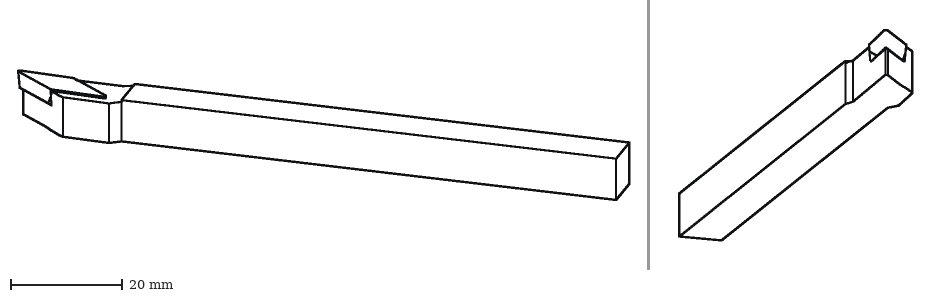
import cadquery as cq
import math

overall_length = 115.0
shank_size = 8.0
shank_start = 21.8

head_height = 7.7
head_bottom_y = -9.4
head_slope_y = -9.1
nose_x = 1.2
nose_y = -0.6
nose_flat = 0.5
neck_start = 19.9
back_end_y = -0.8

hollow_start = (6.3, -5.1)
hollow_middle = (7.2, -5.9)
hollow_end = (8.0, -6.7)
heel_start = (9.7, -8.0)
heel_middle = (10.4, -8.6)
heel_end = (11.2, head_slope_y)

insert_width = 6.4
insert_thickness = 3.2
nose_angle = 35.0
lead_angle = 3.0
clearance_angle = 5.0
nose_radius = 0.3

insert_side = insert_width / math.sin(math.radians(nose_angle))

nose_center_distance = nose_radius / math.sin(math.radians(nose_angle / 2))
nose_axis_angle = lead_angle + nose_angle / 2
nose_setback = nose_center_distance * math.cos(math.radians(nose_axis_angle)) - nose_radius


def edge_vector(angle):
    """Vector along one insert side that drops by the given angle below +X."""
    return (
        insert_side * math.cos(math.radians(angle)),
        -insert_side * math.sin(math.radians(angle)),
    )


def make_insert():
    back_x, back_y = edge_vector(lead_angle)
    front_x, front_y = edge_vector(lead_angle + nose_angle)
    rhombus = [
        (0, 0),
        (back_x, back_y),
        (back_x + front_x, back_y + front_y),
        (front_x, front_y),
    ]
    outline = cq.Sketch().polygon(rhombus + rhombus[:1]).vertices("<X or >X").fillet(nose_radius)
    plate = cq.Workplane("XY").placeSketch(outline).extrude(-insert_thickness, taper=clearance_angle)
    return plate.translate((-nose_setback, 0, shank_size))


def make_shank():
    return (
        cq.Workplane("XY")
        .box(overall_length - shank_start, shank_size, shank_size, centered=False)
        .translate((shank_start, -shank_size, 0))
    )


def make_head():
    return (
        cq.Workplane("XY")
        .moveTo(nose_x, nose_y)
        .lineTo(nose_x, nose_y - nose_flat)
        .lineTo(*hollow_start)
        .threePointArc(hollow_middle, hollow_end)
        .lineTo(*heel_start)
        .threePointArc(heel_middle, heel_end)
        .lineTo(neck_start, head_bottom_y)
        .lineTo(shank_start, -shank_size)
        .lineTo(shank_start, 0)
        .lineTo(neck_start, back_end_y)
        .close()
        .extrude(head_height)
    )


insert = make_insert()
holder = make_shank().union(make_head()).cut(insert)

result = cq.Compound.makeCompound([holder.val(), insert.val()])